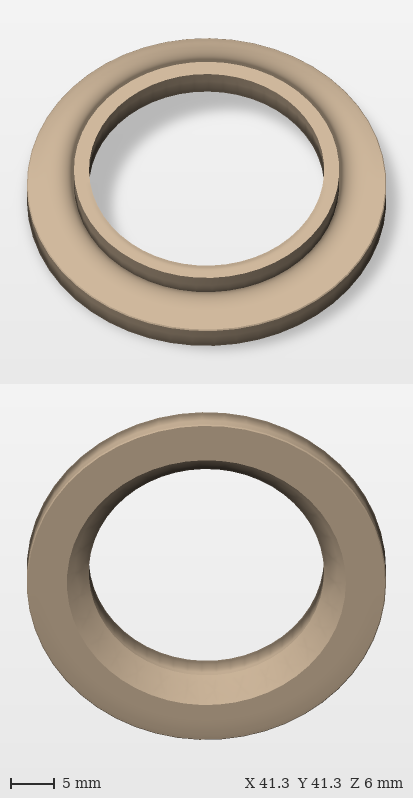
import cadquery as cq

flange_diameter = 41.3
collar_diameter = 30.5
bore_diameter = 27.0
total_height = 6.0
flange_height = 3.2
edge_chamfer = 0.12
bore_chamfer = 2.5


def disc(diameter, height):
    """Solid disc standing on the base plane, centred on the Z axis."""
    return cq.Workplane("XY").circle(diameter / 2).extrude(height)


flange = disc(flange_diameter, flange_height).edges().chamfer(edge_chamfer)
collar = disc(collar_diameter, total_height)

bore = disc(bore_diameter, total_height)
body = flange.union(collar).cut(bore)
result = body.faces("<Z").edges("%CIRCLE").edges(cq.selectors.RadiusNthSelector(0)).chamfer(bore_chamfer)